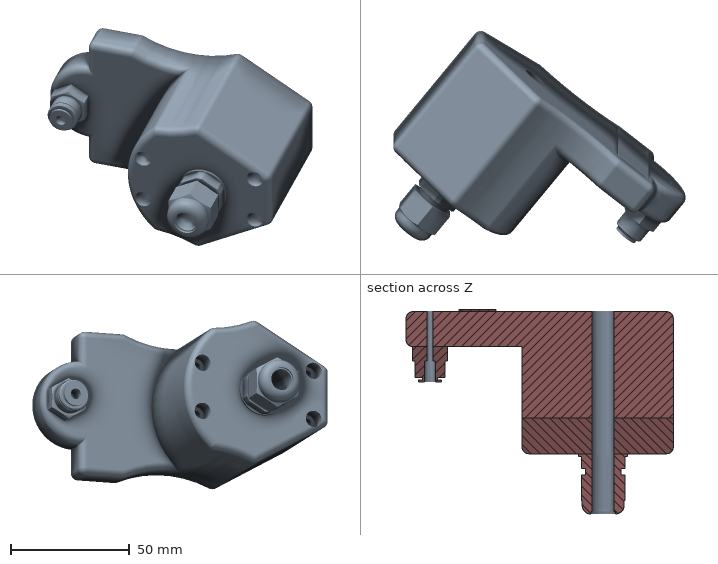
import cadquery as cq
import math


full_width = 62.0
half_width = full_width / 2
right_x = 29.6
left_x = -65.8
plate_depth = 15.0
cover_depth = 15.0
split_depth = 45.0
front_depth = split_depth + cover_depth
edge_radius = 3.0
drum_radius = 34.2

waist_x = -24.4
waist_half_span = 21.4
waist_half_width = 26.2
waist_sag = half_width - waist_half_width
waist_radius = (waist_half_span**2 + waist_sag**2) / (2 * waist_sag)
waist_center_z = waist_half_width + waist_radius
peak_x = waist_x + waist_half_span
shoulder_x = waist_x - waist_half_span

taper_angle = 30.0
right_half_width = half_width - (right_x - peak_x) * math.tan(math.radians(taper_angle))

lug_x = -64.9
lug_radius = 18.0

screw_left_x = -26.8
screw_right_x = 22.5
screw_z = 10.4
screw_diameter = 3.8
screw_head_diameter = 7.0
screw_head_depth = 9.0

pad_x = -52.8
pad_length = 15.8
pad_width = 48.4
pad_depth = 0.8

gland_flats = 18.6
gland_corner_cut = 1.41
gland_flange_diameter = 20.8
gland_flange_depth = 1.1
gland_base_depth = 5.1
gland_neck_diameter = 15.1
gland_neck_depth = 2.5
gland_nut_depth = 11.0
gland_nut_chamfer = 0.9
gland_dome_diameter = 17.9
gland_dome_depth = 5.6
gland_dome_radius = 3.8
gland_mouth_diameter = 10.0
gland_mouth_depth = 1.1
cable_diameter = 9.0

fitting_x = -72.8
fitting_flats = 15.0
fitting_hex_depth = 6.0
fitting_hex_chamfer = 0.5
fitting_body_diameter = 12.9
fitting_body_depth = 7.0
fitting_body_chamfer = 0.5
fitting_groove_start = 5.0
fitting_groove_depth = 0.5
fitting_groove_diameter = 12.4
fitting_neck_diameter = 6.6
fitting_neck_depth = 0.8
fitting_collar_diameter = 10.0
fitting_collar_depth = 1.0
fitting_bore_diameter = 4.5
air_diameter = 2.4


def sketch(depth, x=0.0):
    """Workplane at a depth in front of the back plane; it extrudes towards -Y."""
    return cq.Workplane("XZ", origin=(x, -depth, 0))


def disc(diameter, start, depth, x=0.0):
    return sketch(start, x).circle(diameter / 2).extrude(depth)


def hexagon(flats, start, depth, x=0.0):
    """Hexagonal prism with two flats facing -X and +X."""
    corner = flats / math.sqrt(3)
    angles = [math.radians(90 + 60 * i) for i in range(6)]
    points = [(corner * math.cos(a), corner * math.sin(a)) for a in angles]
    return sketch(start, x).polyline(points).close().extrude(depth)


def chamfered_hexagon(flats, start, depth, chamfer_radial, chamfer_axial, x=0.0):
    """Hexagonal prism whose front corners are turned off by a cone."""
    corner_diameter = 2 * flats / math.sqrt(3)
    turned = disc(corner_diameter, start, depth, x).faces("<Y").chamfer(chamfer_axial, chamfer_radial)
    return hexagon(flats, start, depth, x).intersect(turned)


def plate():
    outline = (
        sketch(0)
        .moveTo(left_x, half_width)
        .lineTo(shoulder_x, half_width)
        .threePointArc((waist_x, waist_half_width), (peak_x, half_width))
        .lineTo(right_x, right_half_width)
        .lineTo(right_x, -right_half_width)
        .lineTo(peak_x, -half_width)
        .threePointArc((waist_x, -waist_half_width), (shoulder_x, -half_width))
        .lineTo(left_x, -half_width)
        .close()
    )
    return outline.extrude(plate_depth).edges().fillet(edge_radius)


def lug():
    round_end = disc(2 * lug_radius, 0, plate_depth, lug_x)
    root_length = 2 * lug_radius
    root = sketch(0, lug_x + root_length / 2).rect(root_length, 2 * lug_radius).extrude(plate_depth)
    return round_end.union(root).faces("<Y or >Y").edges().fillet(edge_radius)


def waist_z_at(x):
    return waist_center_z - math.sqrt(waist_radius**2 - (x - waist_x) ** 2)


def drum_corner():
    """Point where the drum circle meets the waist arc."""
    distance = math.hypot(waist_x, waist_center_z)
    along = (distance**2 + drum_radius**2 - waist_radius**2) / (2 * distance)
    across = math.sqrt(drum_radius**2 - along**2)
    ux = waist_x / distance
    uz = waist_center_z / distance
    return along * ux - across * uz, along * uz + across * ux


def drum(start, depth, rounded_end):
    """Drum section with rounded side corners and one rounded end face."""
    corner_x, corner_z = drum_corner()
    middle_x = (corner_x + peak_x) / 2
    middle_z = waist_z_at(middle_x)
    outline = (
        sketch(start)
        .moveTo(corner_x, corner_z)
        .threePointArc((middle_x, middle_z), (peak_x, half_width))
        .lineTo(right_x, right_half_width)
        .lineTo(right_x, -right_half_width)
        .lineTo(peak_x, -half_width)
        .threePointArc((middle_x, -middle_z), (corner_x, -corner_z))
        .threePointArc((-drum_radius, 0), (corner_x, corner_z))
        .close()
    )
    return outline.extrude(depth).edges("|Y or " + rounded_end).fillet(edge_radius)


def make_housing():
    box = drum(0, split_depth, ">Y")
    body = plate().union(lug()).union(box)
    cable_hole = disc(cable_diameter, 0, split_depth)
    air_hole = disc(air_diameter, 0, plate_depth, fitting_x)
    return body.cut(cable_hole).cut(air_hole)


def make_cover():
    cover = drum(split_depth, cover_depth, "<Y")
    cover = cover.cut(disc(cable_diameter, split_depth, cover_depth))
    screw_points = [(x, z) for x in (screw_left_x, screw_right_x) for z in (-screw_z, screw_z)]
    shanks = sketch(split_depth).pushPoints(screw_points).circle(screw_diameter / 2).extrude(cover_depth)
    head_start = front_depth - screw_head_depth
    heads = sketch(head_start).pushPoints(screw_points).circle(screw_head_diameter / 2).extrude(screw_head_depth)
    return cover.cut(shanks).cut(heads)


def make_pad():
    return sketch(0, pad_x).rect(pad_length, pad_width).extrude(-pad_depth)


def make_gland():
    base_start = front_depth + gland_flange_depth
    neck_start = base_start + gland_base_depth
    nut_start = neck_start + gland_neck_depth
    dome_start = nut_start + gland_nut_depth
    tip = dome_start + gland_dome_depth

    flange = disc(gland_flange_diameter, front_depth, gland_flange_depth)
    base = hexagon(gland_flats, base_start, gland_base_depth)
    base = base.edges("|Y").chamfer(gland_corner_cut)
    neck = disc(gland_neck_diameter, neck_start, gland_neck_depth)
    nut_rim = gland_flats / math.sqrt(3) - gland_dome_diameter / 2
    nut = chamfered_hexagon(gland_flats, nut_start, gland_nut_depth, nut_rim, gland_nut_chamfer)
    dome = disc(gland_dome_diameter, dome_start, gland_dome_depth).faces("<Y").edges().fillet(gland_dome_radius)
    gland = flange.union(base).union(neck).union(nut).union(dome)
    bore = disc(cable_diameter, front_depth, tip - front_depth)
    mouth = disc(gland_mouth_diameter, tip - gland_mouth_depth, gland_mouth_depth)
    return gland.cut(bore).cut(mouth)


def make_fitting():
    body_start = plate_depth + fitting_hex_depth
    neck_start = body_start + fitting_body_depth
    collar_start = neck_start + fitting_neck_depth
    tip = collar_start + fitting_collar_depth
    hex_rim = (2 / math.sqrt(3) - 1) * fitting_flats / 2

    foot = chamfered_hexagon(
        fitting_flats, plate_depth, fitting_hex_depth, hex_rim, fitting_hex_chamfer, fitting_x
    )
    body = disc(fitting_body_diameter, body_start, fitting_body_depth, fitting_x)
    body = body.faces("<Y").edges().chamfer(fitting_body_chamfer)
    groove = (
        sketch(body_start + fitting_groove_start, fitting_x)
        .circle(fitting_body_diameter / 2)
        .circle(fitting_groove_diameter / 2)
        .extrude(fitting_groove_depth)
    )
    neck = disc(fitting_neck_diameter, neck_start, fitting_neck_depth, fitting_x)
    collar = disc(fitting_collar_diameter, collar_start, fitting_collar_depth, fitting_x)
    fitting = foot.union(body.cut(groove)).union(neck).union(collar)
    air_hole = disc(air_diameter, plate_depth, fitting_hex_depth, fitting_x)
    bore = disc(fitting_bore_diameter, body_start, tip - body_start, fitting_x)
    return fitting.cut(air_hole).cut(bore)


housing = make_housing()
cover = make_cover()
pad = make_pad()
gland = make_gland()
fitting = make_fitting()

result = cq.Compound.makeCompound(
    [housing.val(), cover.val(), pad.val(), gland.val(), fitting.val()]
)